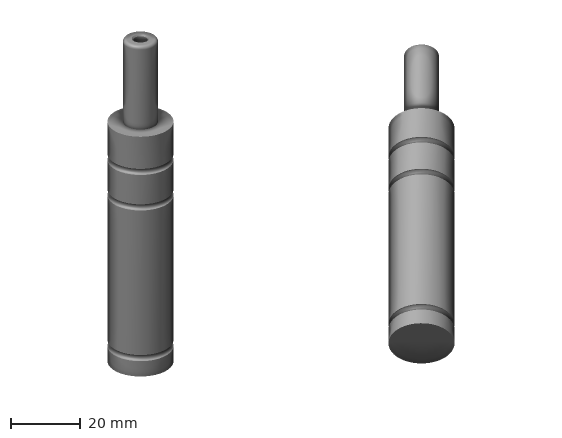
import cadquery as cq
import math

total_height = 105.0
body_height = 78.0
body_diameter = 19.0
body_radius = body_diameter / 2
rod_radius = 5.0
rod_rounding = 1.0

groove_radius = 1.0
groove_heights = [6.0, 55.0, 66.6]

hole_radius = 2.1
hole_mouth_radius = 2.5
hole_depth = 10.0
drill_point_angle = 118


def make_body_and_rod():
    body = cq.Workplane("XY").circle(body_radius).extrude(body_height)
    rod = cq.Workplane("XY").circle(rod_radius).extrude(total_height)
    rod = rod.faces(">Z").fillet(rod_rounding)
    return body.union(rod)


def make_groove(height):
    """Ring of circular section centred on the body surface."""
    section = cq.Workplane("XZ").center(body_radius, height).circle(groove_radius)
    return section.revolve(360, (-body_radius, 0), (-body_radius, 1))


def make_hole():
    mouth_depth = hole_mouth_radius - hole_radius
    point_depth = hole_radius / math.tan(math.radians(drill_point_angle / 2))
    floor_height = total_height - hole_depth
    return (
        cq.Workplane("XZ")
        .moveTo(0, total_height)
        .lineTo(hole_mouth_radius, total_height)
        .lineTo(hole_radius, total_height - mouth_depth)
        .lineTo(hole_radius, floor_height)
        .lineTo(0, floor_height - point_depth)
        .close()
        .revolve(360, (0, 0), (0, 1))
    )


result = make_body_and_rod()
for groove_height in groove_heights:
    result = result.cut(make_groove(groove_height))
result = result.cut(make_hole())